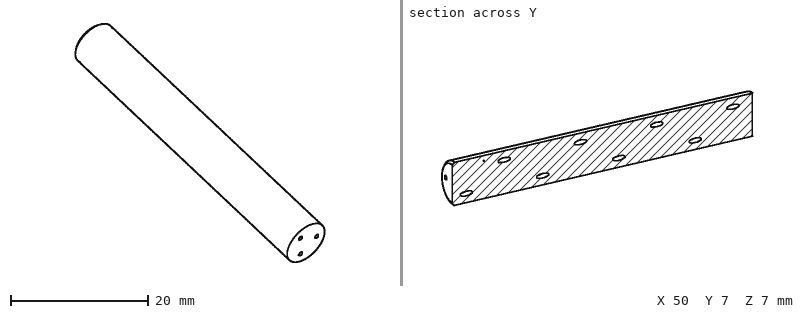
import cadquery as cq
import math

length = 50.0
diameter = 7.0
chamfer_size = 0.35

channel_count = 3
channel_diameter = 0.65
channel_circle_radius = 2.0
first_channel_angle = 8.0
helix_angle = 30.0

helix_pitch = math.pi * diameter / math.tan(math.radians(helix_angle))
total_twist = 360.0 * length / helix_pitch


def make_rod():
    radius = diameter / 2
    return (
        cq.Workplane("XY")
        .moveTo(0, 0)
        .lineTo(0, radius - chamfer_size)
        .lineTo(chamfer_size, radius)
        .lineTo(length, radius)
        .lineTo(length, 0)
        .close()
        .revolve(360, (0, 0, 0), (1, 0, 0))
    )


def make_helical_channel(index):
    angle = first_channel_angle + index * 360.0 / channel_count
    return (
        cq.Workplane("YZ")
        .transformed(rotate=(0, 0, angle))
        .moveTo(channel_circle_radius, 0)
        .circle(channel_diameter / 2)
        .twistExtrude(length, total_twist)
    )


result = make_rod()
for channel_index in range(channel_count):
    result = result.cut(make_helical_channel(channel_index))